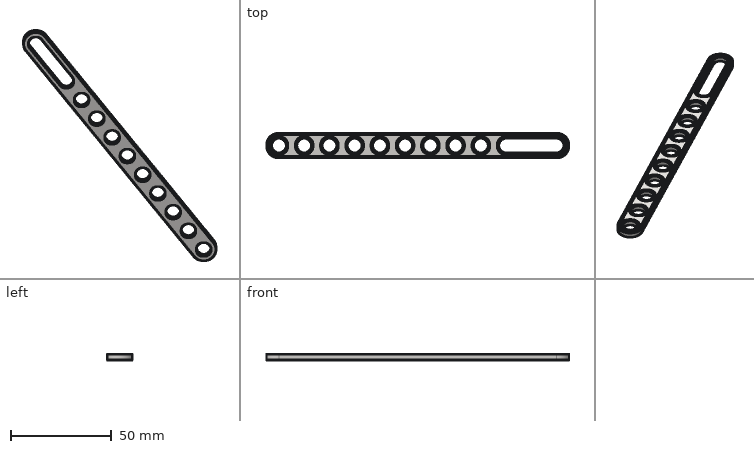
import cadquery as cq

LENGTH = 150.0
THICKNESS = 3.2
EDGE_CHAMFER = 0.3

PITCHES_PER_LENGTH = 12
HOLE_COUNT = 9
SLOT_TRAVEL_PITCHES = 2
HOLE_DIAMETER = 7.0

COLLAR_DIAMETER = 9.2
RIM_WIDTH = 1.08
PANEL_DEPTH = 0.22

pitch = LENGTH / PITCHES_PER_LENGTH
width = pitch
first_hole_x = (width - LENGTH) / 2
slot_travel = SLOT_TRAVEL_PITCHES * pitch
slot_center_x = -first_hole_x - slot_travel / 2
top_z = THICKNESS / 2
bottom_z = -top_z
panel_z = top_z - PANEL_DEPTH


def rounded_bar(inset, bottom, top):
    """Full-round bar outline, shrunk by the inset on every side, between two heights."""
    level = cq.Workplane("XY").workplane(offset=bottom)
    return level.slot2D(LENGTH - 2 * inset, width - 2 * inset).extrude(top - bottom)


def openings(diameter, bottom, top):
    """Solids filling every hole and the slot at the given diameter."""
    hole_points = [(first_hole_x + i * pitch, 0) for i in range(HOLE_COUNT)]
    level = cq.Workplane("XY").workplane(offset=bottom)
    pins = level.pushPoints(hole_points).circle(diameter / 2).extrude(top - bottom)
    slot = level.center(slot_center_x, 0).slot2D(slot_travel + diameter, diameter).extrude(top - bottom)
    return slot.union(pins)


def perforated_bar():
    """Bar with its openings, chamfered along every edge of the top and bottom faces."""
    bar = rounded_bar(0, bottom_z, top_z).cut(openings(HOLE_DIAMETER, bottom_z, top_z))
    return bar.faces("|Z").edges().chamfer(EDGE_CHAMFER)


def sunken_panel():
    """Material removed from the top face inside the rim, leaving the collars standing."""
    return rounded_bar(RIM_WIDTH, panel_z, top_z).cut(openings(COLLAR_DIAMETER, panel_z, top_z))


result = perforated_bar().cut(sunken_panel())